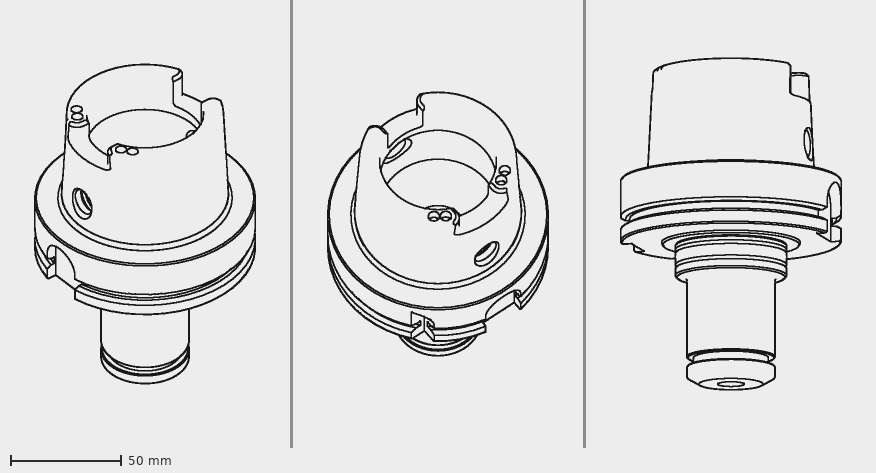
import cadquery as cq
import math


taper_top = 49.8
gauge_radius = 75.013 / 2
gauge_height = 10.0
taper_ratio = 9.98
taper_foot = 2.2
rim_fillet = 2.0
neck_radius = 75.46 / 2
neck_top = 2.0
undercut_start = 0.9
undercut_outer_radius = 39.5
undercut_depth = 0.5

mouth_radius = 53.0 / 2
clamp_groove_radius = 63.0 / 2
clamp_groove_top = 30.0
clamp_shoulder_angle = 60.0
clamp_groove_bottom = 8.4
lower_bore_radius = 27.0
bore_floor = -12.8
bore_floor_fillet = 2.0
tube_thread_radius = 22.38 / 2
tube_thread_mouth_radius = 25.0 / 2
tube_thread_depth = 14.0
through_radius = 12.0 / 2

flange_radius = 50.0
flange_thickness = 29.0
flange_chamfer = 0.7
grip_groove_center = -20.1
grip_groove_radius = 46.0
grip_groove_half_width = 1.8
grip_flank_radius = 47.8
grip_flank_angle = 30.0

collar_radius = 63.0 / 2
collar_bottom = -30.0
collar_chamfer = 0.6
spigot_radius = 50.5 / 2
spigot_bottom = -45.0
spigot_relief_radius = 24.9
spigot_relief_bottom = -30.5
spigot_chamfer = 0.8
spigot_groove_centers = (-33.15, -40.15)
spigot_groove_half_width = 0.85
spigot_groove_depth = 0.5
stem_radius = 40.0 / 2
stem_fillet = 1.5
stem_groove_radius = 34.0 / 2
stem_groove_top = -82.1
stem_groove_bottom = -86.0
stem_edge_chamfer = 0.5
stem_bottom = -94.2
nose_radius = 14.5
nose_angle = 30.0
nose_fillet = 1.0
edge_pick_tolerance = 0.01

drive_slot_half_width = 10.0
drive_slot_corner_radius = 5.0
drive_slot_corner_start = 27.5
drive_slot_inner_end = 15.0
drive_slot_outer_half_width = 25.0
drive_slot_depths = {-1: 10.0, 1: 15.0}
drive_slot_floor_fillet = 1.75
drive_slot_lip = 1.5
drive_slot_clearance = 1.0

keyway_arch_center = -15.0
keyway_floor = 44.0
keyway_widths = {-1: 20.0, 1: 22.0}
notch_width = 20.0
notch_corner = 31.4

cross_hole_radius = 12.0 / 2
cross_hole_height = 14.8
cross_hole_outer_chamfer = 1.5
cross_hole_inner_chamfer = 1.0
flare_clearance = 1.0
chip_hole_diameter = 8.5
chip_hole_height = -7.0
chip_hole_angle = 109.0
chip_hole_depth = 5.0
balance_hole_radius = 5.0 / 2
balance_circle_radius = 31.0
balance_hole_angles = (30.5, 40.5)
balance_hole_depth = 5.0
drill_point_angle = 118.0


def taper_radius(z):
    return gauge_radius - (z - gauge_height) / taper_ratio / 2


def revolve(profile):
    return profile.close().revolve(360, (0, 0, 0), (0, 1, 0))


def taper_and_flange():
    flank_half_width = grip_groove_half_width + (flange_radius - grip_flank_radius) * math.tan(
        math.radians(grip_flank_angle))
    undercut_mid_radius = (neck_radius + undercut_outer_radius) / 2
    profile = (
        cq.Workplane("XZ")
        .moveTo(0, taper_top)
        .lineTo(taper_radius(taper_top), taper_top)
        .lineTo(taper_radius(taper_foot), taper_foot)
        .lineTo(neck_radius, neck_top)
        .lineTo(neck_radius, undercut_start)
        .threePointArc((undercut_mid_radius - undercut_depth, -undercut_depth / 2), (undercut_outer_radius, 0))
        .lineTo(flange_radius - flange_chamfer, 0)
        .lineTo(flange_radius, -flange_chamfer)
        .lineTo(flange_radius, grip_groove_center + flank_half_width)
        .lineTo(grip_flank_radius, grip_groove_center + grip_groove_half_width)
        .lineTo(grip_groove_radius, grip_groove_center + grip_groove_half_width)
        .lineTo(grip_groove_radius, grip_groove_center - grip_groove_half_width)
        .lineTo(grip_flank_radius, grip_groove_center - grip_groove_half_width)
        .lineTo(flange_radius, grip_groove_center - flank_half_width)
        .lineTo(flange_radius, -flange_thickness + flange_chamfer)
        .lineTo(flange_radius - flange_chamfer, -flange_thickness)
        .lineTo(0, -flange_thickness)
    )
    return revolve(profile)


def spigot_and_stem():
    nose_top = stem_bottom + (stem_radius - nose_radius) * math.tan(math.radians(nose_angle))
    profile = (
        cq.Workplane("XZ")
        .moveTo(0, -flange_thickness)
        .lineTo(collar_radius, -flange_thickness)
        .lineTo(collar_radius - collar_chamfer, collar_bottom)
        .lineTo(spigot_relief_radius, collar_bottom)
        .lineTo(spigot_relief_radius, spigot_relief_bottom)
        .lineTo(spigot_radius, spigot_relief_bottom)
    )
    for center in spigot_groove_centers:
        profile = profile.lineTo(spigot_radius, center + spigot_groove_half_width).threePointArc(
            (spigot_radius - spigot_groove_depth, center),
            (spigot_radius, center - spigot_groove_half_width),
        )
    profile = (
        profile
        .lineTo(spigot_radius, spigot_bottom + spigot_chamfer)
        .lineTo(spigot_radius - spigot_chamfer, spigot_bottom)
        .lineTo(stem_radius + stem_fillet, spigot_bottom)
        .radiusArc((stem_radius, spigot_bottom - stem_fillet), -stem_fillet)
        .lineTo(stem_radius, stem_groove_top + stem_edge_chamfer)
        .lineTo(stem_radius - stem_edge_chamfer, stem_groove_top)
        .lineTo(stem_groove_radius, stem_groove_top)
        .lineTo(stem_groove_radius, stem_groove_bottom)
        .lineTo(stem_radius - stem_edge_chamfer, stem_groove_bottom)
        .lineTo(stem_radius, stem_groove_bottom - stem_edge_chamfer)
        .lineTo(stem_radius, nose_top)
        .lineTo(nose_radius, stem_bottom)
        .lineTo(0, stem_bottom)
    )
    nose_edge = cq.selectors.BoxSelector(
        (-flange_radius, -flange_radius, nose_top - edge_pick_tolerance),
        (flange_radius, flange_radius, nose_top + edge_pick_tolerance),
    )
    return revolve(profile).edges(nose_edge).fillet(nose_fillet)


def bore():
    shoulder_height = (clamp_groove_radius - mouth_radius) / math.tan(math.radians(clamp_shoulder_angle))
    ledge_round = clamp_groove_radius - lower_bore_radius
    thread_chamfer = tube_thread_mouth_radius - tube_thread_radius
    profile = (
        cq.Workplane("XZ")
        .moveTo(0, taper_top)
        .lineTo(mouth_radius, taper_top)
        .lineTo(mouth_radius, clamp_groove_top)
        .lineTo(clamp_groove_radius, clamp_groove_top - shoulder_height)
        .lineTo(clamp_groove_radius, clamp_groove_bottom)
        .radiusArc((lower_bore_radius, clamp_groove_bottom - ledge_round), ledge_round)
        .lineTo(lower_bore_radius, bore_floor + bore_floor_fillet)
        .radiusArc((lower_bore_radius - bore_floor_fillet, bore_floor), bore_floor_fillet)
        .lineTo(tube_thread_mouth_radius, bore_floor)
        .lineTo(tube_thread_radius, bore_floor - thread_chamfer)
        .lineTo(tube_thread_radius, bore_floor - tube_thread_depth)
        .lineTo(through_radius, bore_floor - tube_thread_depth)
        .lineTo(through_radius, stem_bottom)
        .lineTo(0, stem_bottom)
    )
    return revolve(profile)


def drive_slot_outline(z):
    """Straight slot that flares round a convex corner into a full-width cut outside the wall."""
    w = drive_slot_half_width
    r = drive_slot_corner_radius
    shoulder = drive_slot_corner_start + r
    return (
        cq.Workplane("XY", origin=(0, 0, z))
        .moveTo(-w, drive_slot_inner_end)
        .lineTo(-w, drive_slot_corner_start)
        .radiusArc((-w - r, shoulder), -r)
        .lineTo(-drive_slot_outer_half_width, shoulder)
        .lineTo(-drive_slot_outer_half_width, flange_radius)
        .lineTo(drive_slot_outer_half_width, flange_radius)
        .lineTo(drive_slot_outer_half_width, shoulder)
        .lineTo(w + r, shoulder)
        .radiusArc((w, drive_slot_corner_start), -r)
        .lineTo(w, drive_slot_inner_end)
        .close()
    )


def cut_drive_slot(part, side):
    depth = drive_slot_depths[side]
    slot = drive_slot_outline(taper_top - depth).extrude(depth + drive_slot_clearance)
    slot = slot.faces("<Z").edges().fillet(drive_slot_floor_fillet)
    lip = drive_slot_outline(taper_top - drive_slot_lip).extrude(drive_slot_lip + drive_slot_clearance, taper=-45)
    if side < 0:
        slot = slot.mirror("XZ")
        lip = lip.mirror("XZ")
    return part.cut(slot).cut(lip)


def arched_slot(width):
    """Slot profile on the XZ plane with a round top, open at the flange underside."""
    r = width / 2
    return (
        cq.Workplane("XZ")
        .moveTo(-r, -flange_thickness)
        .lineTo(-r, keyway_arch_center)
        .threePointArc((0, keyway_arch_center + r), (r, keyway_arch_center))
        .lineTo(r, -flange_thickness)
        .close()
    )


def keyway(side):
    depth = flange_radius - keyway_floor
    slot = arched_slot(keyway_widths[side]).extrude(-depth).translate((0, keyway_floor, 0))
    return slot if side > 0 else slot.mirror("XZ")


def corner_notch():
    depth = flange_radius - notch_corner
    slot = arched_slot(notch_width).extrude(depth)
    return slot.translate((-notch_corner - notch_width / 2, -notch_corner, 0))


def cross_hole():
    """Radial hole through both walls, countersunk from the outside and from the bore."""
    outer_mouth_radius = cross_hole_radius + cross_hole_outer_chamfer
    inner_mouth_radius = cross_hole_radius + cross_hole_inner_chamfer
    outer_mouth = taper_radius(cross_hole_height)
    outer_end = outer_mouth + flare_clearance
    inner_end = clamp_groove_radius - flare_clearance
    profile = (
        cq.Workplane("XY")
        .lineTo(inner_mouth_radius + flare_clearance, 0)
        .lineTo(inner_mouth_radius + flare_clearance, inner_end)
        .lineTo(cross_hole_radius, clamp_groove_radius + cross_hole_inner_chamfer)
        .lineTo(cross_hole_radius, outer_mouth - cross_hole_outer_chamfer)
        .lineTo(outer_mouth_radius + flare_clearance, outer_end)
        .lineTo(0, outer_end)
    )
    hole = revolve(profile).translate((0, 0, cross_hole_height))
    return hole.union(hole.mirror("XZ"))


def chip_hole():
    hole = cq.Workplane("YZ").circle(chip_hole_diameter / 2).extrude(chip_hole_depth)
    hole = hole.translate((flange_radius - chip_hole_depth, 0, chip_hole_height))
    return hole.rotate((0, 0, 0), (0, 0, 1), chip_hole_angle)


def balance_hole(angle):
    point_height = balance_hole_radius / math.tan(math.radians(drill_point_angle / 2))
    profile = (
        cq.Workplane("XZ")
        .moveTo(0, taper_top)
        .lineTo(balance_hole_radius, taper_top)
        .lineTo(balance_hole_radius, taper_top - balance_hole_depth)
        .lineTo(0, taper_top - balance_hole_depth - point_height)
    )
    hole = revolve(profile).translate((0, -balance_circle_radius, 0))
    return hole.rotate((0, 0, 0), (0, 0, 1), angle)


body = taper_and_flange().union(spigot_and_stem()).cut(bore())
body = body.faces(">Z").edges().fillet(rim_fillet)
for side in (-1, 1):
    body = cut_drive_slot(body, side).cut(keyway(side))
    for angle in balance_hole_angles:
        body = body.cut(balance_hole(side * angle))
body = body.cut(corner_notch()).cut(cross_hole()).cut(chip_hole())

result = body